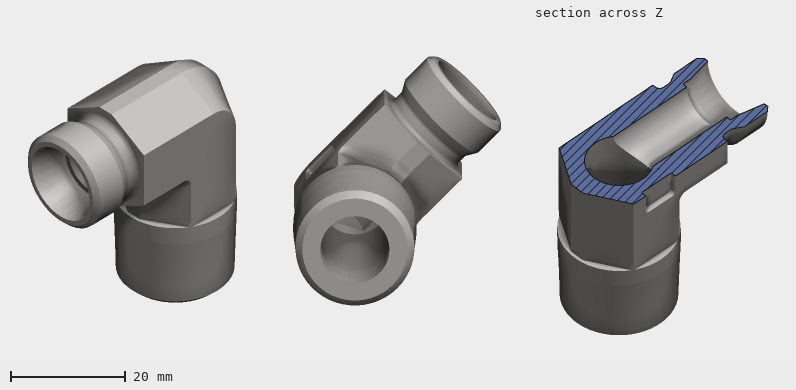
import cadquery as cq
import math


across_flats = 19.0
ridge_height = 10.1
corner_radius = across_flats / math.sqrt(3)
corner_half_side = corner_radius / 2
ridge_half_width = (corner_radius - ridge_height) * math.sqrt(3)
arm_hex_length = 17.0
inner_corner_fillet = 2.0
selection_margin = 0.1

collar_diameter = 21.52
collar_radius = collar_diameter / 2
collar_top = -16.5
taper_start = -20.0
leg_bottom = -34.0
foot_chamfer = 1.2
taper_ratio = 1 / 16
corner_trim_height = 1.0

nose_length = 28.0
nose_diameter = 18.0
nose_chamfer = 0.9
neck_diameter = 15.7
neck_fillet = 1.0
shoulder_start = 21.6
shoulder_angle = 30.0

arm_bore_diameter = 10.0
arm_bore_end = 2.8
leg_bore_diameter = 12.0
leg_bore_top = 0.3
drill_half_angle = 60.0
tube_diameter = 12.0
tube_seat_depth = 7.0
mouth_diameter = 14.3
mouth_half_angle = 12.0

recess_size = 7.0
recess_depth = 1.1
recess_corner_radius = 0.8
recess_center_y = -1.0
recess_center_z = -1.0


def revolve_about_z(profile):
    """Revolve (radius, z) points around the Z axis."""
    return cq.Workplane("XZ").polyline(profile).close().revolve(360, (0, 0), (0, 1))


def turn_to_arm(solid):
    """Swing a solid from +Z round to the -Y arm."""
    return solid.rotate((0, 0, 0), (1, 0, 0), 90)


def hexagon_points():
    """Hexagon with flats facing X and its two other ridges flattened."""
    half_flat = across_flats / 2
    upper = [
        (half_flat, corner_half_side),
        (ridge_half_width, ridge_height),
        (-ridge_half_width, ridge_height),
        (-half_flat, corner_half_side),
    ]
    lower = [(-x, -y) for x, y in upper]
    return upper + lower


def make_bend():
    """Quarter turn of half the hexagon around the X axis, from +Y up to +Z."""
    upper_half = hexagon_points()[:4]
    half_flat = across_flats / 2
    profile = [(half_flat, 0)] + upper_half + [(-half_flat, 0)]
    return cq.Workplane("XY").polyline(profile).close().revolve(90, (0, 0), (1, 0))


def make_hex_body():
    leg = cq.Workplane("XY").polyline(hexagon_points()).close().extrude(collar_top)
    arm = cq.Workplane("XZ").polyline(hexagon_points()).close().extrude(arm_hex_length)
    body = leg.union(arm).union(make_bend())
    reach = ridge_height + selection_margin
    start = corner_half_side - selection_margin
    half_flat = across_flats / 2 + selection_margin
    corner_zone = cq.selectors.BoxSelector(
        (-half_flat, -reach, -reach), (half_flat, -start, -start), boundingbox=True
    )
    body = body.edges(corner_zone).fillet(inner_corner_fillet)
    return body.cut(make_corner_trim())


def make_corner_trim():
    """Ring, larger than the hexagon, that turns its corners down to the collar diameter."""
    return (
        cq.Workplane("XY", origin=(0, 0, collar_top))
        .circle(across_flats)
        .circle(collar_radius)
        .extrude(corner_trim_height)
    )


def make_collar():
    taper_end = leg_bottom + foot_chamfer
    taper_end_radius = collar_radius - (taper_start - taper_end) * taper_ratio / 2
    return revolve_about_z(
        [
            (0, collar_top),
            (collar_radius, collar_top),
            (collar_radius, taper_start),
            (taper_end_radius, taper_end),
            (taper_end_radius - foot_chamfer, leg_bottom),
            (0, leg_bottom),
        ]
    )


def make_nose():
    nose_radius = nose_diameter / 2
    neck_radius = neck_diameter / 2
    angle = math.radians(shoulder_angle)
    neck_end = shoulder_start - (nose_radius - neck_radius) / math.tan(angle)
    blend_length = neck_fillet * math.tan(angle / 2)
    blend_start = (neck_radius, neck_end - blend_length)
    blend_middle = (
        neck_radius + neck_fillet * (1 - math.cos(angle / 2)),
        blend_start[1] + neck_fillet * math.sin(angle / 2),
    )
    blend_end = (
        neck_radius + neck_fillet * (1 - math.cos(angle)),
        blend_start[1] + neck_fillet * math.sin(angle),
    )
    root_offset = neck_fillet * (1 - math.sqrt(0.5))
    nose = (
        cq.Workplane("XZ")
        .moveTo(0, arm_hex_length)
        .lineTo(neck_radius + neck_fillet, arm_hex_length)
        .threePointArc(
            (neck_radius + root_offset, arm_hex_length + root_offset),
            (neck_radius, arm_hex_length + neck_fillet),
        )
        .lineTo(*blend_start)
        .threePointArc(blend_middle, blend_end)
        .lineTo(nose_radius, shoulder_start)
        .lineTo(nose_radius, nose_length - nose_chamfer)
        .lineTo(nose_radius - nose_chamfer, nose_length)
        .lineTo(0, nose_length)
        .close()
        .revolve(360, (0, 0), (0, 1))
    )
    return turn_to_arm(nose)


def drill_tip_length(radius):
    return radius / math.tan(math.radians(drill_half_angle))


def make_arm_bore():
    """Drilled bore, cylindrical tube seat and conical mouth."""
    bore_radius = arm_bore_diameter / 2
    tube_radius = tube_diameter / 2
    mouth_radius = mouth_diameter / 2
    seat = nose_length - tube_seat_depth
    cone_length = (mouth_radius - tube_radius) / math.tan(math.radians(mouth_half_angle))
    bore = revolve_about_z(
        [
            (0, -arm_bore_end - drill_tip_length(bore_radius)),
            (bore_radius, -arm_bore_end),
            (bore_radius, seat),
            (tube_radius, seat),
            (tube_radius, nose_length - cone_length),
            (mouth_radius, nose_length),
            (0, nose_length),
        ]
    )
    return turn_to_arm(bore)


def make_leg_bore():
    bore_radius = leg_bore_diameter / 2
    return revolve_about_z(
        [
            (0, leg_bottom),
            (bore_radius, leg_bottom),
            (bore_radius, leg_bore_top),
            (0, leg_bore_top + drill_tip_length(bore_radius)),
        ]
    )


def make_side_recess():
    return (
        cq.Workplane("YZ", origin=(-across_flats / 2, recess_center_y, recess_center_z))
        .rect(recess_size, recess_size)
        .extrude(recess_depth)
        .edges("|X")
        .fillet(recess_corner_radius)
    )


result = make_hex_body().union(make_collar()).union(make_nose())
result = result.cut(make_arm_bore()).cut(make_leg_bore()).cut(make_side_recess())